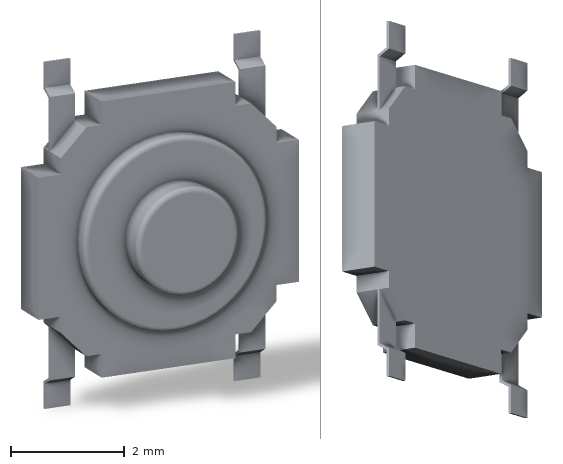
import cadquery as cq
import math

body_thickness = 0.7
body_span = 5.1
core_span = 4.225
tab_width = 2.625
core_chamfer = 0.5

flange_diameter = 3.6
flange_height = 0.3
button_diameter = 2.0
button_height = 0.5
rim_radius = 0.095

lead_span = 6.4
lead_width = core_chamfer
lead_thickness = 0.05
foot_length = 0.5
riser_offset = 0.2
bend_slope_angle = 30.0


def make_body():
    """Plate lying on the YZ plane, extending toward +X."""
    plane = cq.Workplane("YZ")
    core = plane.rect(core_span, core_span).extrude(body_thickness)
    core = core.edges("|X").chamfer(core_chamfer)
    side_tabs = plane.rect(body_span, tab_width).extrude(body_thickness)
    end_tabs = plane.rect(tab_width, body_span).extrude(body_thickness)
    return core.union(side_tabs).union(end_tabs)


def make_disc(diameter, start, height):
    """Disc along X with a rounded outer rim on its +X end."""
    disc = cq.Workplane("YZ").workplane(offset=start).circle(diameter / 2).extrude(height)
    return disc.faces(">X").edges().fillet(rim_radius)


def make_lead():
    """Upper lead on the +Y side: flat foot, sloped bend and riser into the core."""
    slope = math.radians(bend_slope_angle)
    tip = lead_span / 2
    foot_end = tip - foot_length
    riser_top = foot_end - riser_offset * math.tan(slope)
    miter = lead_thickness * math.tan((math.pi / 2 - slope) / 2)
    riser_end = core_span / 2 - core_chamfer
    outline = [
        (0, tip),
        (lead_thickness, tip),
        (lead_thickness, foot_end + miter),
        (riser_offset + lead_thickness, riser_top + miter),
        (riser_offset + lead_thickness, riser_end),
        (riser_offset, riser_end),
        (riser_offset, riser_top),
        (0, foot_end),
    ]
    side_plane = cq.Workplane("XZ", origin=(0, core_span / 2, 0))
    return side_plane.polyline(outline).close().extrude(lead_width)


flange = make_disc(flange_diameter, body_thickness, flange_height)
button = make_disc(button_diameter, body_thickness + flange_height, button_height)
result = make_body().union(flange).union(button)

upper_lead = make_lead()
for lead in (upper_lead, upper_lead.mirror("XY")):
    result = result.union(lead).union(lead.mirror("XZ"))